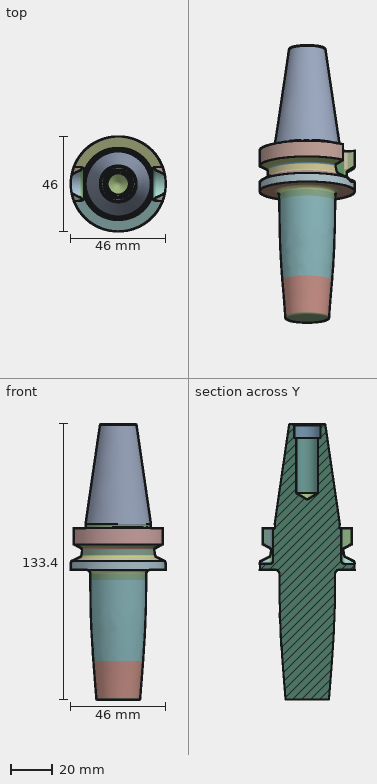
import cadquery as cq
import math

total_height = 133.4
gauge_z = 85.0
flange_top_z = 83.0
flange_bottom_z = 62.8

gauge_radius = 15.9
taper_slope = 7 / 24 / 2
taper_top_radius = gauge_radius - (total_height - gauge_z) * taper_slope
taper_top_chamfer = 0.5

neck_radius = 15.7
neck_top_z = 84.2

relief_outer_radius = 17.5
relief_corner_radius = 1.0
relief_depth = 0.3

flange_radius = 23.01
groove_radius = 19.2
groove_top_z = 75.2
groove_bottom_z = 67.1
groove_wall_height = (flange_radius - groove_radius) * math.tan(math.radians(30))
groove_fillet = 1.0

shank_radius = 13.6
shank_fillet = 1.9
shank_straight_end_z = 57.8
nose_top_z = 18.7
nose_angle = math.radians(4.5)
nose_fillet = 1.0

slot_half_width = 8.1
slot_floor_x = 16.5
slot_arc_center_z = 74.0
slot_floor_fillet = 1.5

counterbore_radius = 6.3
counterbore_depth = 6.8
counterbore_chamfer = 0.8
bore_radius = 5.2
bore_depth = 33.4
drill_half_angle = math.radians(59)


def make_body():
    """Revolve the holder outline about Z."""
    arc_radius = (shank_straight_end_z - nose_top_z) / math.sin(nose_angle)
    nose_top_radius = shank_radius - arc_radius * (1 - math.cos(nose_angle))
    arc_mid = (
        shank_radius - arc_radius * (1 - math.cos(nose_angle / 2)),
        shank_straight_end_z - arc_radius * math.sin(nose_angle / 2),
    )
    nose_end_radius = nose_top_radius - nose_top_z * math.tan(nose_angle)
    relief_z = flange_top_z - relief_depth
    outline = (
        cq.Workplane("XZ")
        .lineTo(nose_end_radius, 0)
        .lineTo(nose_top_radius, nose_top_z)
        .threePointArc(arc_mid, (shank_radius, shank_straight_end_z))
        .lineTo(shank_radius, flange_bottom_z)
        .lineTo(flange_radius, flange_bottom_z)
        .lineTo(flange_radius, groove_bottom_z)
        .lineTo(groove_radius, groove_bottom_z + groove_wall_height)
        .lineTo(groove_radius, groove_top_z - groove_wall_height)
        .lineTo(flange_radius, groove_top_z)
        .lineTo(flange_radius, flange_top_z)
        .lineTo(relief_outer_radius, flange_top_z)
        .lineTo(neck_radius + relief_corner_radius, relief_z)
        .radiusArc((neck_radius, relief_z + relief_corner_radius), relief_corner_radius)
        .lineTo(neck_radius, neck_top_z)
        .lineTo(gauge_radius, gauge_z)
        .lineTo(taper_top_radius, total_height)
        .lineTo(0, total_height)
        .close()
    )
    body = outline.revolve(360, (0, 0, 0), (0, 1, 0))
    body = body.faces("<Z").edges().fillet(nose_fillet)
    body = body.faces(">Z").edges().chamfer(taper_top_chamfer)
    body = fillet_ring(body, shank_radius, flange_bottom_z, shank_fillet)
    for corner_z in (groove_bottom_z + groove_wall_height, groove_top_z - groove_wall_height):
        body = fillet_ring(body, groove_radius, corner_z, groove_fillet)
    return body


def fillet_ring(body, radius, height, fillet_radius):
    """Fillet the circular edge of the given radius at the given height."""
    margin = 0.01
    corner = radius + margin
    ring_box = cq.selectors.BoxSelector(
        (-corner, -corner, height - margin), (corner, corner, height + margin), boundingbox=True
    )
    return body.edges(ring_box).edges(cq.selectors.RadiusNthSelector(-1)).fillet(fillet_radius)


def make_slot_cutter():
    """Round-ended drive slot on the +X side, filleted along its floor."""
    cutter_length = flange_radius - slot_floor_x + 1.3
    cutter_top_z = gauge_z
    cutter = (
        cq.Workplane("YZ", origin=(slot_floor_x, 0, 0))
        .moveTo(-slot_half_width, cutter_top_z)
        .lineTo(-slot_half_width, slot_arc_center_z)
        .threePointArc((0, slot_arc_center_z - slot_half_width), (slot_half_width, slot_arc_center_z))
        .lineTo(slot_half_width, cutter_top_z)
        .close()
        .extrude(cutter_length)
    )
    return cutter.faces("<X").edges("not(>Z)").fillet(slot_floor_fillet)


def make_bore():
    """Chamfered counterbore over a drilled hole with a conical bottom."""
    drill_tip_height = bore_radius / math.tan(drill_half_angle)
    bore_floor_z = total_height - bore_depth
    ledge_z = total_height - counterbore_depth
    outline = (
        cq.Workplane("XZ")
        .moveTo(0, bore_floor_z - drill_tip_height)
        .lineTo(bore_radius, bore_floor_z)
        .lineTo(bore_radius, ledge_z)
        .lineTo(counterbore_radius, ledge_z)
        .lineTo(counterbore_radius, total_height - counterbore_chamfer)
        .lineTo(counterbore_radius + counterbore_chamfer, total_height)
        .lineTo(0, total_height)
        .close()
    )
    return outline.revolve(360, (0, 0, 0), (0, 1, 0))


result = make_body().cut(make_bore())
for slot_angle in (0, 180):
    result = result.cut(make_slot_cutter().rotate((0, 0, 0), (0, 0, 1), slot_angle))